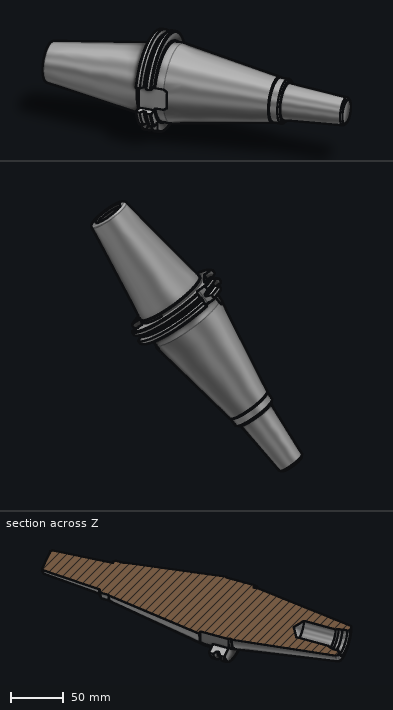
import cadquery as cq
import math

LENGTH = 301.5

GAUGE_X = 101.5
GAUGE_RADIUS = 35.0
TAPER_SLOPE = 7 / 48
TAPER_FILLET = 2.0
RELIEF_RADIUS = 34.5
RELIEF_EDGE = 1.0

FLANGE_START_X = 105.0
FLANGE_END_X = 120.5
FLANGE_DIAMETER = 97.5
FLANGE_RADIUS = FLANGE_DIAMETER / 2
FLANGE_CHAMFER = 1.0
TAPER_ROOT_FILLET = 1.2
BODY_ROOT_FILLET = 1.0
GROOVE_X = 112.8
GROOVE_DEPTH = 4.0
GROOVE_FLOOR_WIDTH = 2.0
GROOVE_HALF_ANGLE = 30

BODY_RADIUS = 39.0
BODY_CONE_START_X = 130.0
BODY_CONE_END_X = 230.0
BODY_CONE_END_RADIUS = 22.3
COLLAR_START_X = 231.0
COLLAR_RADIUS = 21.7
COLLAR_END_X = 241.0
COLLAR_CHAMFER = 1.8
TIP_START_RADIUS = 18.0
TIP_END_RADIUS = 13.5
TIP_CHAMFER = 1.8

SLOT_WIDTH = 25.5
SLOT_END_X = 133.3
SLOT_FLOOR_NEAR = 37.5
SLOT_FLOOR_FAR = 35.3

NOTCH_Y = -29.5
NOTCH_Z = -30.0
NOTCH_FILLET = 1.5

BORE_ENTRY_RADIUS = 14.5
BORE_ENTRY_DEPTH = 2.5
PILOT_RADIUS = 13.0
PILOT_END_X = 7.2
THREAD_ENTRY_RADIUS = 12.0
THREAD_CONE_START_X = 11.0
THREAD_CONE_END_X = 13.3
CORE_RADIUS = 10.5
CORE_END_X = 45.2
DRILL_POINT_ANGLE = 118


def revolve_about_x(outline):
    return outline.close().revolve(360, (0, 0, 0), (1, 0, 0))


def taper_radius(x):
    return GAUGE_RADIUS - TAPER_SLOPE * (GAUGE_X - x)


def turned_body():
    """Everything turned about the X axis, from an outline of (x, radius) points."""
    groove_floor_half = GROOVE_FLOOR_WIDTH / 2
    groove_rim_half = groove_floor_half + GROOVE_DEPTH * math.tan(math.radians(GROOVE_HALF_ANGLE))
    groove_floor_radius = FLANGE_RADIUS - GROOVE_DEPTH
    flange_face_radius = FLANGE_RADIUS - FLANGE_CHAMFER
    outline = (
        cq.Workplane("XY")
        .lineTo(0, taper_radius(0) - TAPER_FILLET)
        .tangentArcPoint((TAPER_FILLET, taper_radius(TAPER_FILLET)), relative=False)
        .lineTo(GAUGE_X, GAUGE_RADIUS)
        .lineTo(GAUGE_X + RELIEF_EDGE, RELIEF_RADIUS)
        .lineTo(FLANGE_START_X - TAPER_ROOT_FILLET, RELIEF_RADIUS)
        .tangentArcPoint((TAPER_ROOT_FILLET, TAPER_ROOT_FILLET))
        .lineTo(FLANGE_START_X, flange_face_radius)
        .lineTo(FLANGE_START_X + FLANGE_CHAMFER, FLANGE_RADIUS)
        .lineTo(GROOVE_X - groove_rim_half, FLANGE_RADIUS)
        .lineTo(GROOVE_X - groove_floor_half, groove_floor_radius)
        .lineTo(GROOVE_X + groove_floor_half, groove_floor_radius)
        .lineTo(GROOVE_X + groove_rim_half, FLANGE_RADIUS)
        .lineTo(FLANGE_END_X - FLANGE_CHAMFER, FLANGE_RADIUS)
        .lineTo(FLANGE_END_X, flange_face_radius)
        .lineTo(FLANGE_END_X, BODY_RADIUS + BODY_ROOT_FILLET)
        .tangentArcPoint((BODY_ROOT_FILLET, -BODY_ROOT_FILLET))
        .lineTo(BODY_CONE_START_X, BODY_RADIUS)
        .lineTo(BODY_CONE_END_X, BODY_CONE_END_RADIUS)
        .lineTo(COLLAR_START_X, COLLAR_RADIUS)
        .lineTo(COLLAR_END_X - COLLAR_CHAMFER, COLLAR_RADIUS)
        .lineTo(COLLAR_END_X, COLLAR_RADIUS - COLLAR_CHAMFER)
        .lineTo(COLLAR_END_X, TIP_START_RADIUS)
        .lineTo(LENGTH - TIP_CHAMFER, TIP_END_RADIUS)
        .lineTo(LENGTH, TIP_END_RADIUS - TIP_CHAMFER)
        .lineTo(LENGTH, 0)
    )
    return revolve_about_x(outline)


def drive_slot(side, floor):
    """Flange slot and the body flat behind it, on the +Y (side = 1) or -Y (side = -1) side."""
    depth = FLANGE_RADIUS
    centre_y = side * (floor + depth / 2)
    slot_length = FLANGE_END_X - FLANGE_START_X
    slot = (
        cq.Workplane("XY")
        .box(slot_length, depth, SLOT_WIDTH)
        .translate((FLANGE_START_X + slot_length / 2, centre_y, 0))
    )
    flat_length = SLOT_END_X - FLANGE_END_X
    flat = (
        cq.Workplane("XY")
        .box(flat_length, depth, 2 * BODY_RADIUS)
        .translate((FLANGE_END_X + flat_length / 2, centre_y, 0))
    )
    return slot.union(flat)


def orientation_notch():
    size = FLANGE_RADIUS
    return (
        cq.Workplane("XY")
        .box(FLANGE_END_X - FLANGE_START_X, size, size, centered=False)
        .edges("|X and >Y and >Z")
        .fillet(NOTCH_FILLET)
        .translate((FLANGE_START_X, NOTCH_Y - size, NOTCH_Z - size))
    )


def threaded_bore():
    point_length = CORE_RADIUS / math.tan(math.radians(DRILL_POINT_ANGLE / 2))
    outline = (
        cq.Workplane("XY")
        .lineTo(0, BORE_ENTRY_RADIUS)
        .lineTo(BORE_ENTRY_DEPTH, PILOT_RADIUS)
        .lineTo(PILOT_END_X, PILOT_RADIUS)
        .lineTo(PILOT_END_X, THREAD_ENTRY_RADIUS)
        .lineTo(THREAD_CONE_START_X, THREAD_ENTRY_RADIUS)
        .lineTo(THREAD_CONE_END_X, CORE_RADIUS)
        .lineTo(CORE_END_X, CORE_RADIUS)
        .lineTo(CORE_END_X + point_length, 0)
    )
    return revolve_about_x(outline)


result = (
    turned_body()
    .cut(drive_slot(-1, SLOT_FLOOR_NEAR))
    .cut(drive_slot(1, SLOT_FLOOR_FAR))
    .cut(orientation_notch())
    .cut(threaded_bore())
)